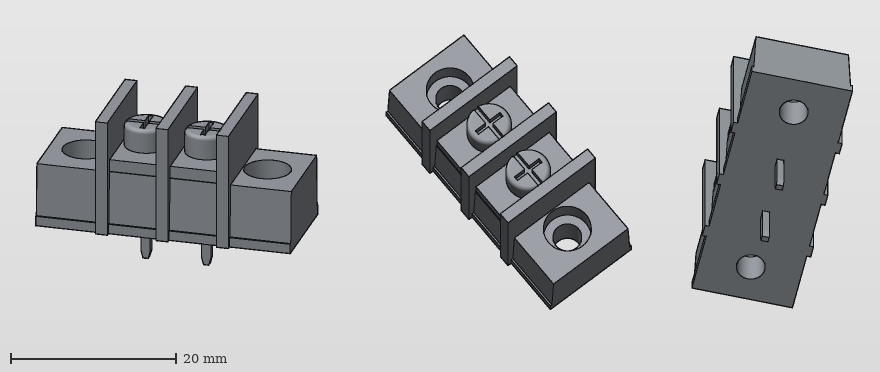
import cadquery as cq

pitch = 7.6
terminal_count = 2
terminal_xs = [(i - (terminal_count - 1) / 2) * pitch for i in range(terminal_count)]
barrier_xs = [(i - terminal_count / 2) * pitch for i in range(terminal_count + 1)]
ear_hole_xs = [barrier_xs[0] - pitch / 2, barrier_xs[-1] + pitch / 2]

length = 31.98
foot_width = 12.5
foot_height = 1.25
body_bottom_width = 12.02
body_top_width = 11.5
body_height = 8.0

barrier_thickness = 1.5
barrier_width = 13.5
barrier_height = 14.8

ear_hole_diameter = 3.5
counterbore_diameter = 5.8
counterbore_depth = 3.0

strip_width = 11.32
strip_thickness = 1.55
strip_length = barrier_xs[-1] - barrier_xs[0] - barrier_thickness
strip_top = body_height + strip_thickness

head_diameter = 5.4
head_height = 2.97
head_fillet = 0.5
long_slot_width = 0.67
short_slot_width = 0.58
short_slot_length = 3.77
slot_depth = 1.0

pin_width = 1.18
pin_thickness = 0.85
pin_reach = 5.3
pin_tip_width = 0.65
pin_tip_length = 1.0


def make_block():
    """Foot and drafted body, extruded along the full length."""
    profile = [
        (-foot_width / 2, 0),
        (foot_width / 2, 0),
        (foot_width / 2, foot_height),
        (body_bottom_width / 2, foot_height),
        (body_top_width / 2, body_height),
        (-body_top_width / 2, body_height),
        (-body_bottom_width / 2, foot_height),
        (-foot_width / 2, foot_height),
    ]
    return cq.Workplane("YZ").polyline(profile).close().extrude(length / 2, both=True)


def make_barrier(x):
    """Upright wall that reaches down to the base."""
    wall = cq.Workplane("XY").box(
        barrier_thickness, barrier_width, barrier_height, centered=(True, True, False)
    )
    return wall.translate((x, 0, 0))


def make_ear_hole(x):
    """Cutter for one through hole with its counterbore."""
    hole = cq.Workplane("XY").center(x, 0).circle(ear_hole_diameter / 2).extrude(body_height)
    counterbore = (
        cq.Workplane("XY", origin=(x, 0, body_height))
        .circle(counterbore_diameter / 2)
        .extrude(-counterbore_depth)
    )
    return hole.union(counterbore)


def make_strip():
    """Flat contact strip that passes through the middle barrier."""
    strip = cq.Workplane("XY").box(
        strip_length, strip_width, strip_thickness, centered=(True, True, False)
    )
    return strip.translate((0, 0, body_height))


def make_screw_head(x):
    """Round head with a rounded rim and crossed driver slots."""
    head = (
        cq.Workplane("XY")
        .circle(head_diameter / 2)
        .extrude(head_height)
        .faces(">Z")
        .edges()
        .fillet(head_fillet)
    )
    slots = (
        cq.Workplane("XY", origin=(0, 0, head_height))
        .rect(head_diameter, long_slot_width)
        .extrude(-slot_depth)
        .union(
            cq.Workplane("XY", origin=(0, 0, head_height))
            .rect(short_slot_width, short_slot_length)
            .extrude(-slot_depth)
        )
    )
    return head.cut(slots).translate((x, 0, strip_top))


def make_pin(x):
    """Flat pin from the strip down through the housing, tapered at its tip."""
    profile = [
        (x - pin_width / 2, body_height),
        (x + pin_width / 2, body_height),
        (x + pin_width / 2, pin_tip_length - pin_reach),
        (x + pin_tip_width / 2, -pin_reach),
        (x - pin_tip_width / 2, -pin_reach),
        (x - pin_width / 2, pin_tip_length - pin_reach),
    ]
    return cq.Workplane("XZ").polyline(profile).close().extrude(pin_thickness / 2, both=True)


def make_contacts():
    """Metal body: strip, screw heads and solder pins in one piece."""
    contacts = make_strip()
    for x in terminal_xs:
        contacts = contacts.union(make_screw_head(x)).union(make_pin(x))
    return contacts


def make_housing(contacts):
    """Block with barriers and mounting holes, opened where the contacts pass through."""
    housing = make_block()
    for x in barrier_xs:
        housing = housing.union(make_barrier(x))
    for x in ear_hole_xs:
        housing = housing.cut(make_ear_hole(x))
    return housing.cut(contacts)


contacts = make_contacts()
housing = make_housing(contacts)

result = cq.Compound.makeCompound([*housing.solids().vals(), *contacts.solids().vals()])